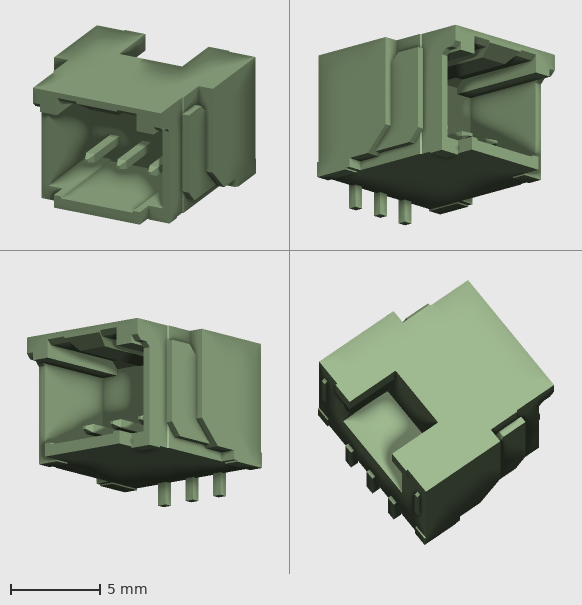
import cadquery as cq


top_z = 7.1
base_z = 0.08
front_y = -9.9
rear_y = -0.21
nose_half = 4.03
mid_half = 4.11
nose_step_y = -7.23
nose_step_taper = mid_half - nose_half
side_front_y = -8.83
tongue_half = 2.71

cavity_half = 3.59
cavity_top_z = 5.73
cavity_rear_y = -3.8
floor_z = 0.84
floor_recess_depth = 0.12
recess_half_top = 2.29
recess_half_bottom = 2.24

ceiling_half = 2.51
ceiling_z = 6.5
ceiling_lip_z = 6.78
ceiling_lip_length = 0.33
ceiling_rear_chamfer = 0.41
rib_half_root = 1.32
rib_half_tip = 0.91
rib_front_z = 6.67
rib_tip_z = 6.05
rib_ramp_length = 0.9

eave_z = 5.89
eave_chamfer = 0.3

ear_half = 5.0
ear_front_y = -5.41
ear_cut_z = 2.0
ear_sole_z = 0.6
ear_sole_front_y = -2.61
ear_heel_y = -0.12
ear_heel_z = 0.88
rear_foot_front_y = -2.31
front_foot_rear_y = -7.91

notch_half = 1.99
notch_front_y = -3.31
arm_half = 3.3
arm_bottom_z = 6.1
arm_rear_y = -0.09
pocket_half = 2.74
ledge_z = 3.0
ledge_crown = 0.09

tab_inner_x = 4.15
tab_outer_x = 4.56
tab_front_y = -7.5
tab_top_z = 6.18
tab_bottom_z = 0.76
tab_shoulder_z = 5.7
tab_shoulder_front_y = -5.49
tab_top_chamfer = tab_top_z - tab_shoulder_z
tab_toe_length = 0.69
tab_toe_height = 0.73
bump_inner_x = 4.23
bump_outer_x = 4.47
bump_bottom_z = 3.13
bump_top_z = 5.78
bump_taper = 0.1

pin_pitch = 2.0
pin_width = 0.54
pin_height = 0.5
pin_center_z = 2.09
pin_tip_y = -7.3
pin_taper = 0.5
pin_tip_size = 0.18
tail_thickness = 0.49
tail_top_z = 0.81
tail_bottom_z = -1.21

mark_left_x = -3.28
mark_tip_x = -2.74
mark_half_height = 0.31
mark_depth = 0.05


def block(x0, x1, y0, y1, z0, z1):
    """Box between two opposite corners."""
    return cq.Workplane("XY").box(x1 - x0, y1 - y0, z1 - z0, centered=False).translate((x0, y0, z0))


def side_prism(points, x0, x1):
    """Outline of (y, z) points stretched from x0 to x1."""
    return cq.Workplane("YZ").polyline(points).close().extrude(x1 - x0).translate((x0, 0, 0))


def front_prism(points, y0, y1):
    """Outline of (x, z) points stretched from y0 to y1."""
    return cq.Workplane("XZ").polyline(points).close().extrude(y1 - y0).translate((0, y1, 0))


def both_sides(shape):
    """The shape together with its mirror image across X = 0."""
    return shape.union(shape.mirror("YZ"))


def make_shell():
    half_plan = [
        (0, rear_y),
        (mid_half, rear_y),
        (mid_half, nose_step_y),
        (nose_half, nose_step_y - nose_step_taper),
        (nose_half, front_y),
        (0, front_y),
    ]
    height = top_z - base_z
    half = cq.Workplane("XY").polyline(half_plan).close().extrude(height).translate((0, 0, base_z))
    return both_sides(half)


def make_front_opening():
    """Space in front of the side walls, between the roof overhang and the floor tongue."""
    outer = side_prism(
        [
            (front_y, base_z),
            (side_front_y, base_z),
            (side_front_y, eave_z - eave_chamfer),
            (side_front_y - eave_chamfer, eave_z),
            (front_y + eave_chamfer, eave_z),
            (front_y, eave_z + eave_chamfer),
        ],
        cavity_half,
        nose_half,
    )
    inner = block(tongue_half, cavity_half, front_y, side_front_y, base_z, cavity_top_z)
    return both_sides(outer.union(inner))


def make_cavity():
    main = block(-cavity_half, cavity_half, front_y, cavity_rear_y, floor_z, cavity_top_z)
    raised = side_prism(
        [
            (front_y, floor_z),
            (cavity_rear_y, floor_z),
            (cavity_rear_y, ceiling_z - ceiling_rear_chamfer),
            (cavity_rear_y - ceiling_rear_chamfer, ceiling_z),
            (front_y + ceiling_lip_length, ceiling_z),
            (front_y, ceiling_lip_z),
        ],
        -ceiling_half,
        ceiling_half,
    )
    recess_z = floor_z - floor_recess_depth
    recess = front_prism(
        [
            (-recess_half_top, floor_z),
            (-recess_half_bottom, recess_z),
            (recess_half_bottom, recess_z),
            (recess_half_top, floor_z),
        ],
        front_y,
        cavity_rear_y,
    )
    return main.union(raised).union(recess)


def make_latch_rib():
    """Rib that narrows downward, with a lead-in ramp at the mating face."""
    section = front_prism(
        [
            (-rib_half_root, ceiling_lip_z),
            (-rib_half_tip, rib_tip_z),
            (rib_half_tip, rib_tip_z),
            (rib_half_root, ceiling_lip_z),
        ],
        front_y,
        cavity_rear_y,
    )
    ramp_cut = side_prism(
        [
            (front_y, rib_tip_z),
            (front_y + rib_ramp_length, rib_tip_z),
            (front_y, rib_front_z),
        ],
        -rib_half_root,
        rib_half_root,
    )
    return section.cut(ramp_cut)


def make_ears():
    slope_run = ear_cut_z - ear_sole_z
    ear = side_prism(
        [
            (rear_y, top_z),
            (ear_front_y, top_z),
            (ear_front_y, ear_cut_z),
            (ear_front_y + slope_run, ear_sole_z),
            (ear_sole_front_y, ear_sole_z),
            (ear_sole_front_y, base_z),
            (rear_foot_front_y, base_z),
            (rear_foot_front_y, 0),
            (ear_heel_y, 0),
            (ear_heel_y, ear_heel_z),
            (rear_y, ear_heel_z),
        ],
        mid_half,
        ear_half,
    )
    return both_sides(ear)


def make_front_feet():
    return both_sides(block(tongue_half, nose_half, side_front_y, front_foot_rear_y, 0, base_z))


def make_arm_ends():
    return both_sides(block(notch_half, arm_half, rear_y, arm_rear_y, arm_bottom_z, top_z))


def make_rear_pocket():
    """Pocket open to the rear, with a slightly crowned ledge and a notch through the roof."""
    ledge_middle_y = (rear_y + notch_front_y) / 2
    pocket = (
        cq.Workplane("YZ", origin=(-pocket_half, 0, 0))
        .moveTo(rear_y, ledge_z)
        .threePointArc((ledge_middle_y, ledge_z + ledge_crown), (notch_front_y, ledge_z))
        .lineTo(notch_front_y, arm_bottom_z)
        .lineTo(rear_y, arm_bottom_z)
        .close()
        .extrude(2 * pocket_half)
    )
    notch = block(-notch_half, notch_half, notch_front_y, rear_y, arm_bottom_z, top_z)
    return pocket.union(notch)


def make_tabs():
    """Flat plates ahead of the ears, and their tapered ends behind the ears."""
    plate = side_prism(
        [
            (ear_front_y, tab_shoulder_z),
            (tab_shoulder_front_y, tab_shoulder_z),
            (tab_shoulder_front_y - tab_top_chamfer, tab_top_z),
            (tab_front_y, tab_top_z),
            (tab_front_y, tab_bottom_z + tab_toe_height),
            (tab_front_y + tab_toe_length, tab_bottom_z),
            (ear_sole_front_y, tab_bottom_z),
            (ear_sole_front_y, tab_shoulder_z),
        ],
        tab_inner_x,
        tab_outer_x,
    )
    bump = side_prism(
        [
            (rear_y, bump_bottom_z),
            (0, bump_bottom_z + bump_taper),
            (0, bump_top_z - bump_taper),
            (rear_y, bump_top_z),
        ],
        bump_inner_x,
        bump_outer_x,
    )
    return both_sides(plate.union(bump))


def make_pin(x):
    shoulder_y = pin_tip_y + pin_taper
    shank = block(
        x - pin_width / 2,
        x + pin_width / 2,
        shoulder_y,
        cavity_rear_y,
        pin_center_z - pin_height / 2,
        pin_center_z + pin_height / 2,
    )
    tip = (
        cq.Workplane("XZ", origin=(x, shoulder_y, pin_center_z))
        .rect(pin_width, pin_height)
        .workplane(offset=pin_taper)
        .rect(pin_tip_size, pin_tip_size)
        .loft(ruled=True)
    )
    tail = block(x - pin_width / 2, x + pin_width / 2, -tail_thickness, 0, tail_bottom_z, tail_top_z)
    return shank.union(tip).union(tail)


def make_pin_one_mark():
    triangle = [
        (mark_left_x, pin_center_z - mark_half_height),
        (mark_left_x, pin_center_z + mark_half_height),
        (mark_tip_x, pin_center_z),
    ]
    return front_prism(triangle, cavity_rear_y, cavity_rear_y + mark_depth)


result = make_shell()
result = result.cut(make_front_opening()).cut(make_cavity())
result = result.union(make_latch_rib())
result = result.union(make_ears()).union(make_front_feet())
result = result.cut(make_rear_pocket()).union(make_arm_ends())
result = result.union(make_tabs())
for pin_index in (-1, 0, 1):
    result = result.union(make_pin(pin_index * pin_pitch))
result = result.cut(make_pin_one_mark())